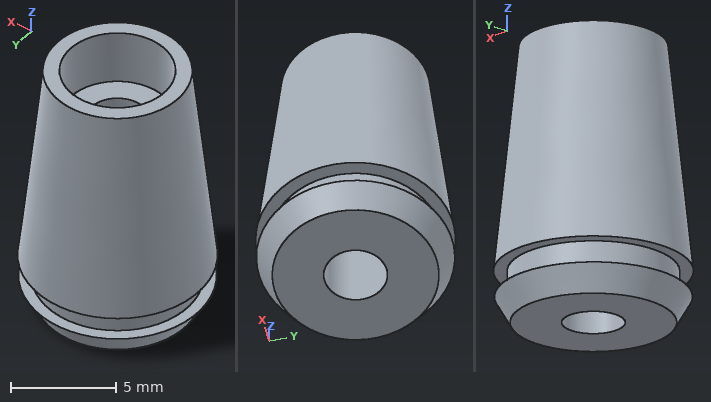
import cadquery as cq

total_height = 14.0
flange_height = 1.3
groove_height = 1.3
sleeve_top_radius = 3.55
sleeve_base_radius = 4.76
groove_radius = 4.1
flange_top_radius = 4.72
flange_base_radius = 3.96
bore_radius = 2.76
bore_depth = 3.0
hole_radius = 1.51

sleeve_base_z = flange_height + groove_height
bore_floor_z = total_height - bore_depth

half_section = (
    cq.Workplane("XZ")
    .moveTo(hole_radius, 0)
    .lineTo(flange_base_radius, 0)
    .lineTo(flange_top_radius, flange_height)
    .lineTo(groove_radius, flange_height)
    .lineTo(groove_radius, sleeve_base_z)
    .lineTo(sleeve_base_radius, sleeve_base_z)
    .lineTo(sleeve_top_radius, total_height)
    .lineTo(bore_radius, total_height)
    .lineTo(bore_radius, bore_floor_z)
    .lineTo(hole_radius, bore_floor_z)
    .close()
)

result = half_section.revolve(360, (0, 0, 0), (0, 1, 0))